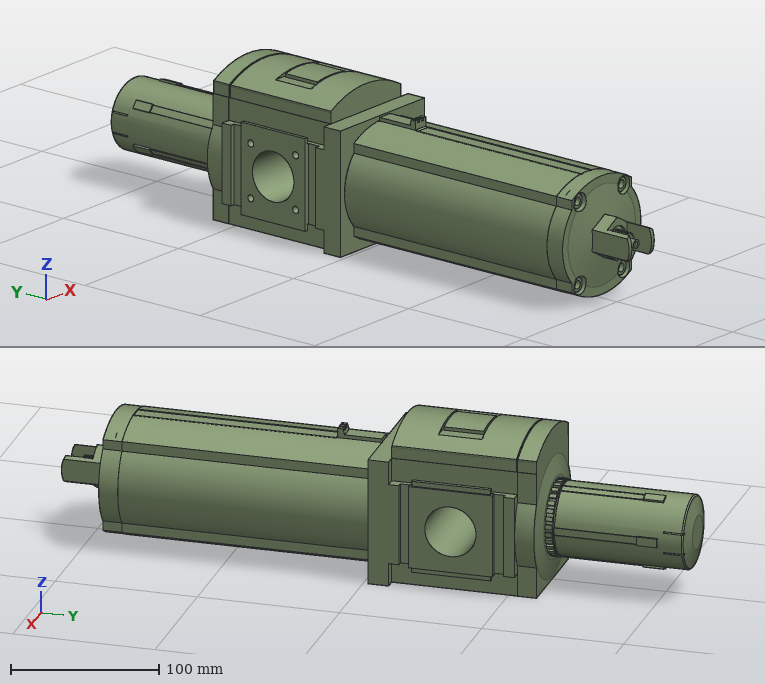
import cadquery as cq
import math


knob_tip_y = 160.0
knob_rim_y = 157.3
pad_start_y = 139.3
pad_end_y = 125.0
knob_base_y = 67.0
bonnet_top_y = 60.5
cap_top_y = 58.0
cap_base_y = 44.5
flange_top_y = -44.0
flange_base_y = -58.5
bowl_top_y = flange_base_y - 1.0
end_cover_y = -235.5
bowl_base_y = -249.0
dome_apex_y = -253.6
hex_base_y = -262.5
drain_tip_y = knob_tip_y - 443.7

block_half = 45.0
body_half_width = 37.6
cap_half_width = 37.8
cap_radius = 44.2
bonnet_foot_radius = 43.0
bonnet_radius = 29.0

cover_half_width = 37.4
cover_top_z = 64.0
cover_shoulder_z = 54.0
cover_bevel_width = 0.2
cover_bevel_height = 1.0
seam_width = 0.8
seam_depth = 0.3

window_half_width = 24.3
window_length = 30.5
window_floor_z = 60.1
insert_half_width = 14.8
insert_gap = 1.2

rail_inner_y = 36.8
rail_half_height = 28.7
panel_x = 41.4
port_plate_back_x = 42.3
port_plate_length = 55.5
port_plate_height = 66.0
outlet_plate_size = 59.0
outlet_plate_proud = 1.5
port_diameter = 36.0
port_screw_diameter = 5.0
port_screw_depth = 10.0
port_screw_pitch = 39.0

neck_radius = 40.0
bowl_side_x = 42.0
bowl_crown_z = 42.5
bowl_flat_x = 32.0
bowl_flat_low_z = 26.1
bowl_flat_high_z = 33.0
end_cover_inset = 0.15
dome_radius = 36.0

bowl_screw_x = 23.4
bowl_screw_z = 29.7
screw_bore_diameter = 13.0
screw_bore_depth = 8.0
screw_head_diameter = 11.0
screw_head_height = 6.0
screw_head_chamfer = 0.5
screw_socket_diameter = 6.0
screw_socket_depth = 4.0

latch_width = 11.0
groove_floor_z = 41.6
latch_top_z = 44.8
latch_end_y = -93.0
latch_top_gap = 1.0
latch_ridge_top_z = 49.0
latch_ridge_length = 5.0
latch_ridge_slope = 1.3
latch_foot_length = 1.3
latch_notch_width = 1.4
latch_notch_x = 2.0
latch_notch_floor_z = 47.0

hex_across_flats = 27.0
ear_thickness = 3.0
ear_half_height = 10.0
ear_tip_sag = 2.6
drain_recess_diameter = 18.63
drain_recess_depth = 2.0
drain_knob_diameter = 13.0
drain_knob_base_y = -271.7
drain_notch_count = 12
drain_notch_diameter = 1.5
drain_neck_diameter = 4.13
drain_barb_diameter = 6.0
drain_barb_top_y = -274.5
drain_barb_base_y = -279.0
drain_bore_diameter = 3.0

knob_radius = 25.7
knob_rim_chamfer = 1.0
knob_tip_radius = 12.0
rib_count = 5
rib_first_angle = 18.0
pad_width = 6.2
pad_radius = 27.0
strip_width = 5.4
strip_radius = 26.2
slit_z = 7.5
slit_width = 1.0
slit_depth = 2.5
slit_end_y = 143.5
collar_radius = 26.8
collar_neck_radius = 24.0
collar_neck_length = 1.5
tooth_count = 30
tooth_gap_width = 2.5
tooth_gap_depth = 2.0


def section(y):
    """Workplane across the long axis at y: X right, Z up, extruding toward -Y."""
    return cq.Workplane("XZ", origin=(0, y, 0))


def disc(diameter, y_top, y_base, x=0.0, z=0.0):
    return section(y_top).center(x, z).circle(diameter / 2).extrude(y_top - y_base)


def block(x_low, x_high, y_low, y_high, z_low, z_high):
    size = (x_high - x_low, y_high - y_low, z_high - z_low)
    return cq.Workplane().box(*size, centered=False).translate((x_low, y_low, z_low))


def turned(points):
    """Solid of revolution about Y from (radius, y) points."""
    return cq.Workplane("XY").polyline(points).close().revolve(360, (0, 0, 0), (0, 1, 0))


def cover_outline(y, inset=0.0):
    """Arched cover profile; its foot is sunk to the middle of the housing."""
    half_width = cover_half_width - inset
    shoulder_z = cover_shoulder_z - inset
    arch_end_x = half_width - cover_bevel_width
    return (
        section(y)
        .moveTo(-half_width, 0)
        .lineTo(-half_width, shoulder_z - cover_bevel_height)
        .lineTo(-arch_end_x, shoulder_z)
        .threePointArc((0, cover_top_z - inset), (arch_end_x, shoulder_z))
        .lineTo(half_width, shoulder_z - cover_bevel_height)
        .lineTo(half_width, 0)
        .close()
    )


def make_cover():
    """Arched cover with a seam below the cap and a window with a raised insert."""
    cover = cover_outline(cap_top_y).extrude(cap_top_y - flange_top_y)
    seam = cover.intersect(
        block(-block_half, block_half, cap_base_y - seam_width, cap_base_y, block_half, cover_top_z)
    ).cut(cover_outline(cap_base_y, seam_depth).extrude(seam_width))
    window = block(
        -window_half_width, window_half_width,
        -window_length / 2, window_length / 2,
        window_floor_z, cover_top_z,
    )
    insert_half_length = window_length / 2 - insert_gap
    insert = block(
        -insert_half_width, insert_half_width,
        -insert_half_length, insert_half_length,
        window_floor_z, cover_top_z,
    )
    return cover.cut(seam).cut(window.cut(insert))


def make_cap():
    """Square cap with rounded bulging sides, topped by the low conical bonnet."""
    thickness = cap_top_y - cap_base_y
    square = section(cap_top_y).rect(2 * cap_half_width, 2 * block_half).extrude(thickness)
    bulge = disc(2 * cap_radius, cap_top_y, cap_base_y)
    bonnet = turned([
        (0, cap_top_y), (bonnet_foot_radius, cap_top_y), (bonnet_radius, bonnet_top_y), (0, bonnet_top_y)
    ])
    return square.union(bulge).union(bonnet)


def make_side(direction):
    """Panel on the -X or +X side, with two rails and the overhanging port plate."""
    def slab(near_x, far_x, y_low, y_high, half_height):
        x_low, x_high = sorted((direction * near_x, direction * far_x))
        return block(x_low, x_high, y_low, y_high, -half_height, half_height)

    half_length = port_plate_length / 2
    half_height = port_plate_height / 2
    slabs = (
        slab(0, panel_x, flange_top_y, cap_base_y, rail_half_height),
        slab(0, block_half, rail_inner_y, cap_base_y, rail_half_height),
        slab(0, block_half, flange_top_y, -rail_inner_y, rail_half_height),
        slab(0, port_plate_back_x, -half_length, half_length, rail_half_height),
        slab(port_plate_back_x, block_half, -half_length, half_length, half_height),
    )
    side = slabs[0]
    for part in slabs[1:]:
        side = side.union(part)
    return side


def make_housing():
    length = cap_base_y - flange_top_y
    housing = section(cap_base_y).rect(2 * body_half_width, 2 * block_half).extrude(length)
    flange = (
        section(flange_top_y)
        .rect(2 * block_half, 2 * block_half)
        .extrude(flange_top_y - flange_base_y)
    )
    housing = housing.union(make_cap()).union(make_cover()).union(flange)
    for direction in (-1, 1):
        housing = housing.union(make_side(direction))

    outlet_half = outlet_plate_size / 2
    outlet_plate = block(
        port_plate_back_x, block_half + outlet_plate_proud,
        -outlet_half, outlet_half,
        -outlet_half, outlet_half,
    )
    housing = housing.union(outlet_plate)

    port = cq.Workplane("YZ").circle(port_diameter / 2).extrude(2 * block_half, both=True)
    screw_holes = (
        cq.Workplane("YZ", origin=(-block_half, 0, 0))
        .rect(port_screw_pitch, port_screw_pitch, forConstruction=True)
        .vertices()
        .circle(port_screw_diameter / 2)
        .extrude(port_screw_depth)
    )
    return housing.cut(port).cut(screw_holes)


def bowl_outline(y, inset=0.0):
    """Four bulging arcs joined by short upright flats at the corners."""
    flat_x = bowl_flat_x - inset
    low_z = bowl_flat_low_z
    high_z = bowl_flat_high_z - inset
    return (
        section(y)
        .moveTo(-flat_x, high_z)
        .threePointArc((0, bowl_crown_z - inset), (flat_x, high_z))
        .lineTo(flat_x, low_z)
        .threePointArc((bowl_side_x - inset, 0), (flat_x, -low_z))
        .lineTo(flat_x, -high_z)
        .threePointArc((0, -bowl_crown_z + inset), (-flat_x, -high_z))
        .lineTo(-flat_x, -low_z)
        .threePointArc((-bowl_side_x + inset, 0), (-flat_x, low_z))
        .close()
    )


def make_latch():
    """Release slide: a flat bar with a notched upright ridge at its lower end."""
    ridge_top_y = latch_end_y + latch_foot_length + latch_ridge_length
    latch_start_y = bowl_top_y - latch_top_gap
    latch = (
        cq.Workplane("YZ", origin=(-latch_width / 2, 0, 0))
        .moveTo(latch_start_y, groove_floor_z)
        .lineTo(latch_start_y, latch_top_z)
        .lineTo(ridge_top_y, latch_top_z)
        .lineTo(ridge_top_y - latch_ridge_slope, latch_ridge_top_z)
        .lineTo(latch_end_y + latch_foot_length, latch_ridge_top_z)
        .lineTo(latch_end_y + latch_foot_length, bowl_crown_z)
        .lineTo(latch_end_y, groove_floor_z)
        .close()
        .extrude(latch_width)
    )
    for x in (-latch_notch_x, latch_notch_x):
        latch = latch.cut(block(
            x - latch_notch_width / 2, x + latch_notch_width / 2,
            latch_end_y, ridge_top_y,
            latch_notch_floor_z, latch_ridge_top_z,
        ))
    return latch


def make_drain():
    """Hexagon with two ears, and the notched drain knob with its hose barb between them."""
    hex_circumdiameter = hex_across_flats / math.cos(math.radians(30))
    ear_inner_x = hex_across_flats / 2 - ear_thickness
    hexagon = (
        section(bowl_base_y)
        .transformed(rotate=(0, 0, 30))
        .polygon(6, hex_circumdiameter)
        .extrude(bowl_base_y - drain_tip_y)
    )
    ear_side = (
        cq.Workplane("YZ", origin=(-hex_across_flats / 2, 0, 0))
        .moveTo(hex_base_y, -ear_half_height)
        .lineTo(drain_tip_y + ear_tip_sag, -ear_half_height)
        .threePointArc((drain_tip_y, 0), (drain_tip_y + ear_tip_sag, ear_half_height))
        .lineTo(hex_base_y, ear_half_height)
        .close()
        .extrude(hex_across_flats)
    )
    slot = block(
        -ear_inner_x, ear_inner_x, drain_tip_y, hex_base_y, -ear_half_height, ear_half_height
    )
    below_hex = block(
        -block_half, block_half, drain_tip_y, hex_base_y, -block_half, block_half
    )
    recess_floor_y = hex_base_y + drain_recess_depth
    drain = hexagon.cut(below_hex.cut(ear_side)).cut(slot)
    drain = drain.cut(disc(drain_recess_diameter, recess_floor_y, hex_base_y))

    notches = (
        section(recess_floor_y)
        .polarArray(drain_knob_diameter / 2, 0, 360, drain_notch_count)
        .circle(drain_notch_diameter / 2)
        .extrude(recess_floor_y - drain_knob_base_y)
    )
    drain_knob = disc(drain_knob_diameter, recess_floor_y, drain_knob_base_y).cut(notches)
    neck = disc(drain_neck_diameter, drain_knob_base_y, drain_barb_top_y)
    barb = disc(drain_barb_diameter, drain_barb_top_y, drain_barb_base_y)
    bore = disc(drain_bore_diameter, hex_base_y, drain_barb_base_y)
    return drain.union(drain_knob).union(neck).union(barb).cut(bore)


def make_bowl_screw_pocket(x, z):
    """Counterbore that leaves a socket screw head standing on its floor."""
    floor_y = bowl_base_y + screw_bore_depth
    head_y = floor_y - screw_head_height
    pocket = disc(screw_bore_diameter, floor_y, dome_apex_y, x, z)
    head = disc(screw_head_diameter, floor_y, head_y, x, z).faces("<Y").chamfer(screw_head_chamfer)
    socket = disc(screw_socket_diameter, head_y + screw_socket_depth, head_y, x, z)
    return pocket.cut(head.cut(socket))


def make_bowl():
    tube = bowl_outline(bowl_top_y).extrude(bowl_top_y - end_cover_y)
    end_cover = bowl_outline(end_cover_y, end_cover_inset).extrude(end_cover_y - bowl_base_y)
    neck = disc(2 * neck_radius, flange_base_y, bowl_top_y)
    dome = turned([(0, bowl_base_y), (dome_radius, bowl_base_y), (0, dome_apex_y)])
    groove = block(
        -latch_width / 2, latch_width / 2, end_cover_y, bowl_top_y, groove_floor_z, block_half
    )
    bowl = tube.cut(groove).union(end_cover).union(neck).union(dome)
    for x in (-bowl_screw_x, bowl_screw_x):
        for z in (-bowl_screw_z, bowl_screw_z):
            bowl = bowl.cut(make_bowl_screw_pocket(x, z))
    return bowl.union(make_latch()).union(make_drain())


def make_rib():
    """Grip rib on the +Z side: a short proud pad followed by a lower strip."""
    pad = block(-pad_width / 2, pad_width / 2, pad_end_y, pad_start_y, 0, pad_radius)
    strip = block(-strip_width / 2, strip_width / 2, knob_base_y, pad_end_y, 0, strip_radius)
    return pad.union(strip)


def make_collar():
    """Toothed locking ring between the knob barrel and the bonnet."""
    ring_top_y = knob_base_y - collar_neck_length
    neck = disc(2 * collar_neck_radius, knob_base_y, ring_top_y)
    gaps = (
        section(ring_top_y)
        .polarArray(collar_radius, 0, 360, tooth_count)
        .rect(2 * tooth_gap_depth, tooth_gap_width)
        .extrude(ring_top_y - bonnet_top_y)
    )
    return disc(2 * collar_radius, ring_top_y, bonnet_top_y).cut(gaps).union(neck)


def make_knob():
    rim_radius = knob_radius - knob_rim_chamfer
    knob = turned([
        (0, knob_base_y),
        (knob_radius, knob_base_y),
        (knob_radius, knob_rim_y - knob_rim_chamfer),
        (rim_radius, knob_rim_y),
        (knob_tip_radius, knob_tip_y),
        (0, knob_tip_y),
    ])
    rib = make_rib()
    for i in range(rib_count):
        angle = rib_first_angle + i * 360 / rib_count
        knob = knob.union(rib.rotate((0, 0, 0), (0, 1, 0), angle))
    slit_floor_x = math.sqrt(knob_radius**2 - slit_z**2) - slit_depth
    for z in (-slit_z, slit_z):
        slit = block(
            -knob_radius, knob_radius,
            slit_end_y, knob_tip_y,
            z - slit_width / 2, z + slit_width / 2,
        )
        core = block(
            -slit_floor_x, slit_floor_x, slit_end_y, knob_tip_y, -knob_radius, knob_radius
        )
        knob = knob.cut(slit.cut(core))
    return knob.union(make_collar())


housing = make_housing()
bowl = make_bowl()
knob = make_knob()

result = cq.Compound.makeCompound([housing.val(), bowl.val(), knob.val()])